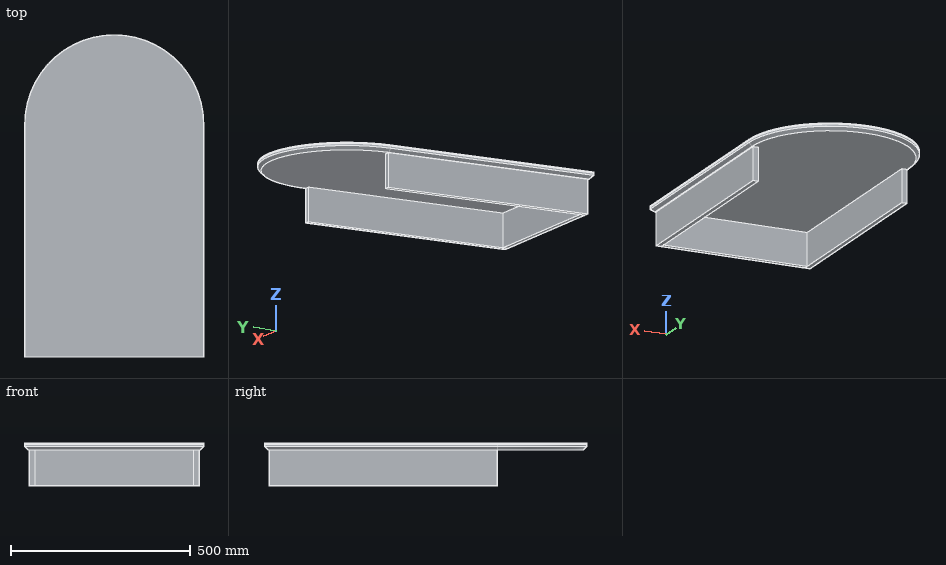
import cadquery as cq

top_width = 500.0
top_length = 900.0
top_thickness = 20.0
cover_thickness = 4.0
cover_rounding = 1.0
under_bevel = 10.0

overall_height = 120.0
overhang = 13.0
board_thickness = 16.0

end_radius = top_width / 2
straight_length = top_length - end_radius
core_thickness = top_thickness - cover_thickness
frame_height = overall_height - top_thickness
frame_width = top_width - 2 * overhang
frame_length = straight_length - overhang
panel_width = frame_width - 2 * board_thickness


def make_round_ended_slab(bottom_z, thickness):
    """Slab with a straight front edge on Y = 0 and a half-round far end."""
    return (
        cq.Workplane("XY")
        .workplane(offset=bottom_z)
        .moveTo(-end_radius, 0)
        .lineTo(end_radius, 0)
        .lineTo(end_radius, straight_length)
        .threePointArc((0, top_length), (-end_radius, straight_length))
        .close()
        .extrude(thickness)
    )


def make_core():
    """Thick lower layer of the top, beveled all around its lower edge."""
    return make_round_ended_slab(frame_height, core_thickness).faces("<Z").chamfer(under_bevel)


def make_cover():
    """Thin sheet on the core, with the same outline and a rounded upper edge."""
    sheet = make_round_ended_slab(frame_height + core_thickness, cover_thickness)
    return sheet.faces(">Z").edges().fillet(cover_rounding)


def make_side_board(side):
    """Long board of the frame: side is -1 for the -X board and 1 for the +X board."""
    center_x = side * (frame_width - board_thickness) / 2
    return (
        cq.Workplane("XY")
        .box(board_thickness, frame_length, frame_height, centered=(True, False, False))
        .translate((center_x, overhang, 0))
    )


def make_front_panel():
    """Panel between the side boards, flush with their front ends."""
    return (
        cq.Workplane("XY")
        .box(panel_width, board_thickness, frame_height, centered=(True, False, False))
        .translate((0, overhang, 0))
    )


core = make_core()
cover = make_cover()
side_boards = [make_side_board(side) for side in (-1, 1)]
front_panel = make_front_panel()

result = cq.Compound.makeCompound(
    [body.val() for body in (core, cover, *side_boards, front_panel)]
)